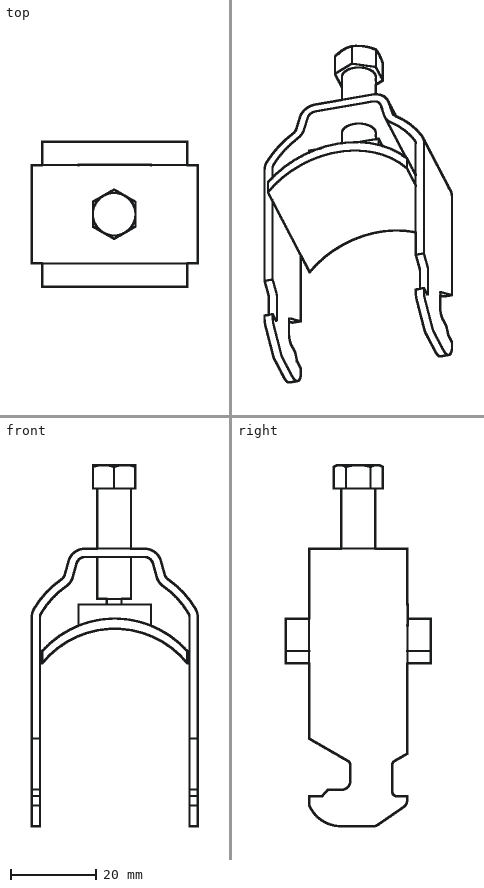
import cadquery as cq
import math

strap_width = 39.0
strap_depth = 23.0
strap_height = 65.1
sheet = 2.0
crown_half = 7.0
crown_bend = 4.0
neck_lean = math.radians(15.5)
waist_bend = 2.0
shoulder_radius = 22.0
shoulder_center_z = 39.8
leg_bend = 4.0

shank_back = 8.0
shank_front = -1.9
shank_top = 15.0
flare_angle = math.radians(30)
hook_tip_z = 7.1
shelf_z = 8.6
shelf_end = -7.1
shelf_ramp = 1.4
heel_z = 5.1
heel_foot = 4.1
toe_radius = 8.2
toe_start = -4.0
shelf_fillet = 2.0
heel_fillet = 2.0
shank_fillet = 1.0

bolt_x = -0.15
bolt_top = 84.68
head_height = 5.5
head_flats = 10.0
head_chamfer_angle = math.radians(30)
shaft_diameter = 8.0
shaft_bottom = 53.3
tip_diameter = 3.5

saddle_width = 34.0
saddle_length = 34.0
saddle_top = 48.7
saddle_thickness = 2.4
saddle_outer_radius = 22.8
saddle_inner_radius = 21.9
pad_top = 52.0
pad_width = 17.0
pad_front = -10.0
pad_back = 11.7


def strap_blank():
    """Bent strap before its leg ends are cut to the hook shape."""
    half_width = strap_width / 2
    crown_x = crown_half + crown_bend * math.tan((math.pi / 2 - neck_lean) / 2)
    lean_x, lean_z = math.sin(neck_lean), -math.cos(neck_lean)
    rise = strap_height - shoulder_center_z
    along = crown_x * lean_x + rise * lean_z
    reach = -along - math.sqrt(along**2 - crown_x**2 - rise**2 + shoulder_radius**2)
    waist = (crown_x + reach * lean_x, strap_height + reach * lean_z)
    leg_angle = math.acos(half_width / shoulder_radius)
    leg_z = shoulder_center_z + shoulder_radius * math.sin(leg_angle)
    waist_angle = math.acos(waist[0] / shoulder_radius)
    middle = (leg_angle + waist_angle) / 2
    shoulder = (
        shoulder_radius * math.cos(middle),
        shoulder_center_z + shoulder_radius * math.sin(middle),
    )
    block = (
        cq.Workplane("XZ")
        .moveTo(-half_width, -sheet)
        .lineTo(half_width, -sheet)
        .lineTo(half_width, leg_z)
        .threePointArc(shoulder, waist)
        .lineTo(crown_x, strap_height)
        .lineTo(-crown_x, strap_height)
        .lineTo(-waist[0], waist[1])
        .threePointArc((-shoulder[0], shoulder[1]), (-half_width, leg_z))
        .close()
        .extrude(strap_depth / 2, both=True)
    )
    bends = (
        (crown_x, strap_height, crown_bend),
        (waist[0], waist[1], waist_bend),
        (half_width, leg_z, leg_bend),
    )
    for x, z, radius in bends:
        for side in (-1, 1):
            corner = cq.selectors.NearestToPointSelector((side * x, 0, z))
            block = block.edges("|Y").edges(corner).fillet(radius)
    cavity = block.faces("<Y").wires().toPending().offset2D(-sheet).extrude(-strap_depth, combine=False)
    return block.cut(cavity)


def leg_outline():
    """Side outline of the strap, extruded through both legs."""
    edge = strap_depth / 2
    toe_drop = edge + toe_start
    toe_end_z = toe_radius - math.sqrt(toe_radius**2 - toe_drop**2)
    half_sweep = math.asin(toe_drop / toe_radius) / 2
    toe_middle = (
        toe_start - toe_radius * math.sin(half_sweep),
        toe_radius * (1 - math.cos(half_sweep)),
    )
    flare = math.tan(flare_angle)
    outline = (
        cq.Workplane("YZ")
        .moveTo(edge, strap_height)
        .lineTo(edge, shank_top + (edge - shank_back) * flare)
        .lineTo(shank_back, shank_top)
        .lineTo(shank_back, hook_tip_z)
        .lineTo(edge, hook_tip_z)
        .lineTo(edge, heel_z)
        .lineTo(heel_foot, 0)
        .lineTo(toe_start, 0)
        .threePointArc(toe_middle, (-edge, toe_end_z))
        .lineTo(-edge, hook_tip_z)
        .lineTo(shelf_end - shelf_ramp, hook_tip_z)
        .lineTo(shelf_end, shelf_z)
        .lineTo(shank_front, shelf_z)
        .lineTo(shank_front, shank_top)
        .lineTo(-edge, shank_top + (edge + shank_front) * flare)
        .lineTo(-edge, strap_height)
        .close()
        .extrude(strap_width / 2, both=True)
    )
    rounded = (
        (shank_back, shank_top, shank_fillet),
        (shank_back, hook_tip_z, shank_fillet),
        (shank_front, shank_top, shank_fillet),
        (shank_front, shelf_z, shelf_fillet),
        (edge, heel_z, heel_fillet),
        (heel_foot, 0, heel_fillet),
    )
    for y, z, radius in rounded:
        corner = cq.selectors.NearestToPointSelector((0, y, z))
        outline = outline.edges("|X").edges(corner).fillet(radius)
    return outline


def make_strap():
    bolt_hole = (
        cq.Workplane("XY", origin=(bolt_x, 0, shaft_bottom))
        .circle(shaft_diameter / 2)
        .extrude(bolt_top - shaft_bottom)
    )
    return strap_blank().intersect(leg_outline()).cut(bolt_hole)


def make_bolt():
    head_bottom = bolt_top - head_height
    corner_radius = head_flats / math.sqrt(3)
    bevel_run = corner_radius - head_flats / 2
    bevel_drop = bevel_run * math.tan(head_chamfer_angle)
    head = (
        cq.Workplane("XY", origin=(0, 0, head_bottom))
        .polygon(6, 2 * corner_radius)
        .extrude(head_height)
        .rotate((0, 0, 0), (0, 0, 1), 30)
    )
    bevel = (
        cq.Workplane("XY", origin=(0, 0, head_bottom))
        .circle(corner_radius)
        .extrude(head_height)
        .faces(">Z")
        .chamfer(bevel_drop, bevel_run)
    )
    shaft = (
        cq.Workplane("XY", origin=(0, 0, shaft_bottom))
        .circle(shaft_diameter / 2)
        .extrude(head_bottom - shaft_bottom)
    )
    tip = (
        cq.Workplane("XY", origin=(0, 0, pad_top))
        .circle(tip_diameter / 2)
        .extrude(shaft_bottom - pad_top)
    )
    return head.intersect(bevel).union(shaft).union(tip).translate((bolt_x, 0, 0))


def make_saddle():
    outer_center_z = saddle_top - saddle_outer_radius
    inner_center_z = saddle_top - saddle_thickness - saddle_inner_radius
    half_width = saddle_width / 2
    outer_end = outer_center_z + math.sqrt(saddle_outer_radius**2 - half_width**2)
    inner_end = inner_center_z + math.sqrt(saddle_inner_radius**2 - half_width**2)
    plate = (
        cq.Workplane("XZ")
        .moveTo(-half_width, inner_end)
        .lineTo(-half_width, outer_end)
        .threePointArc((0, saddle_top), (half_width, outer_end))
        .lineTo(half_width, inner_end)
        .threePointArc((0, saddle_top - saddle_thickness), (-half_width, inner_end))
        .close()
        .extrude(saddle_length / 2, both=True)
    )
    pad_end = outer_center_z + math.sqrt(saddle_outer_radius**2 - (pad_width / 2) ** 2)
    pad = (
        cq.Workplane("XZ", origin=(0, pad_back, 0))
        .moveTo(-pad_width / 2, pad_end)
        .threePointArc((0, saddle_top), (pad_width / 2, pad_end))
        .lineTo(pad_width / 2, pad_top)
        .lineTo(-pad_width / 2, pad_top)
        .close()
        .extrude(pad_back - pad_front)
    )
    return plate.union(pad)


strap = make_strap()
bolt = make_bolt()
saddle = make_saddle()
result = cq.Compound.makeCompound([strap.val(), bolt.val(), saddle.val()])